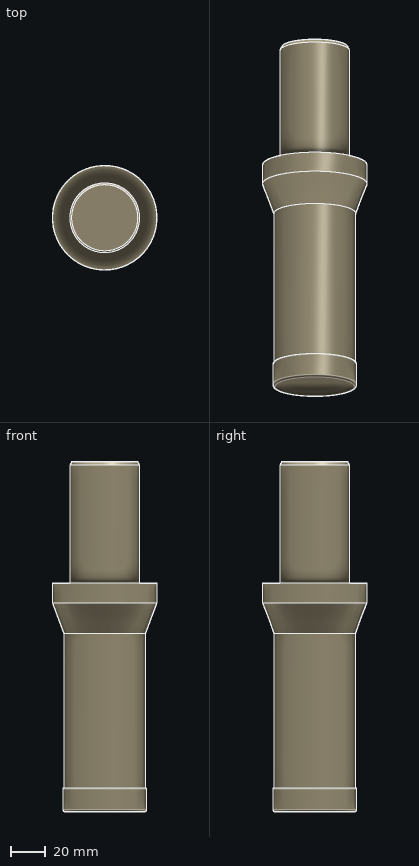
import cadquery as cq

total_height = 201.0
collar_top = 131.3
collar_bottom = 120.0
cone_bottom = 102.5
band_top = 13.7

shank_diameter = 40.0
collar_diameter = 60.0
body_diameter = 47.0
band_diameter = 48.0

shank_chamfer_height = 2.0
shank_chamfer_width = 1.0
band_top_fillet = 0.5
band_bottom_fillet = 1.2


def make_holder():
    """Turned holder: body, flared collar and chamfered shank."""
    shank_radius = shank_diameter / 2
    collar_radius = collar_diameter / 2
    body_radius = body_diameter / 2
    profile = [
        (0, band_top),
        (body_radius, band_top),
        (body_radius, cone_bottom),
        (collar_radius, collar_bottom),
        (collar_radius, collar_top),
        (shank_radius, collar_top),
        (shank_radius, total_height - shank_chamfer_height),
        (shank_radius - shank_chamfer_width, total_height),
        (0, total_height),
    ]
    return cq.Workplane("XZ").polyline(profile).close().revolve(360, (0, 0), (0, 1))


def make_end_band():
    """Slightly wider end piece below the holder, with both rims rounded."""
    band = cq.Workplane("XY").circle(band_diameter / 2).extrude(band_top)
    band = band.faces(">Z").edges().fillet(band_top_fillet)
    return band.faces("<Z").edges().fillet(band_bottom_fillet)


holder = make_holder()
end_band = make_end_band()

result = cq.Compound.makeCompound([holder.val(), end_band.val()])